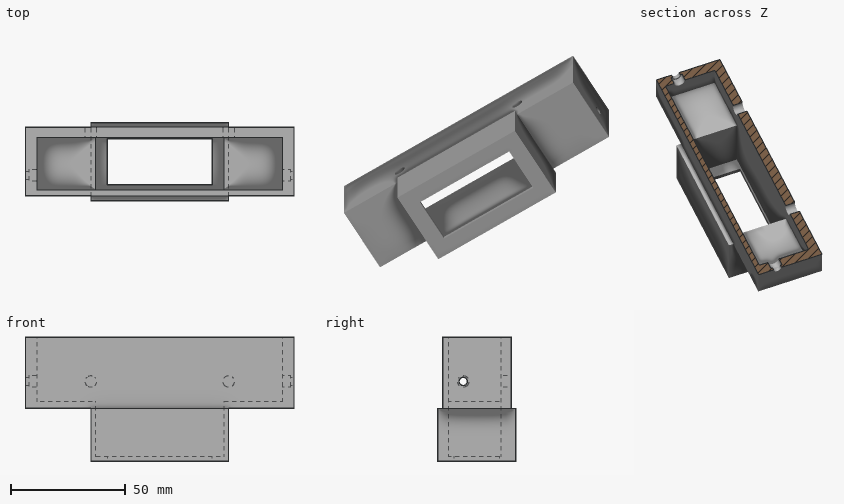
import cadquery as cq

tray_length = 117.0
tray_width = 30.0
tray_height = 31.0
tray_center_y = 0.1
tray_end_wall = 5.0
tray_front_wall = 2.5
tray_back_wall = 4.5
tray_floor = 3.0

base_length = 60.0
base_width = 34.0
base_height = 23.0
base_end_wall = 2.0
base_floor = 2.0

window_length = 45.5
window_width = 20.0

hole_height_above_base = 11.75
end_hole_diameter = 3.5
end_hole_offset = -6.0
end_counterbore_diameter = 5.0
end_lip_thickness = 1.5
back_hole_diameter = 5.0
back_hole_spacing = 60.0

total_height = base_height + tray_height
hole_z = base_height + hole_height_above_base
end_hole_y = tray_center_y + end_hole_offset
tray_back_y = tray_center_y + tray_width / 2
cavity_width = tray_width - tray_front_wall - tray_back_wall
cavity_center_y = tray_center_y + (tray_front_wall - tray_back_wall) / 2


def block(length, width, bottom_z, top_z, center_y=0.0):
    """Rectangular block centred on X, between two heights."""
    return (
        cq.Workplane("XY", origin=(0, center_y, bottom_z))
        .rect(length, width)
        .extrude(top_z - bottom_z)
    )


def outer_body():
    """Housing with the longer tray standing on it."""
    base = block(base_length, base_width, 0, base_height)
    tray = block(tray_length, tray_width, base_height, total_height, tray_center_y)
    return base.union(tray)


def stepped_cavity():
    """Tray pocket, the shorter recess below it, and the window through the bottom."""
    pocket_length = tray_length - 2 * tray_end_wall
    pocket_floor_z = base_height + tray_floor
    pocket = block(pocket_length, cavity_width, pocket_floor_z, total_height, cavity_center_y)
    recess_length = base_length - 2 * base_end_wall
    recess = block(recess_length, cavity_width, base_floor, total_height, cavity_center_y)
    window = block(window_length, window_width, 0, total_height)
    return pocket.union(recess).union(window)


def lengthwise_bore(diameter, length):
    """Cylinder along X on the end hole axis, centred on the part."""
    return (
        cq.Workplane("YZ", origin=(-length / 2, end_hole_y, hole_z))
        .circle(diameter / 2)
        .extrude(length)
    )


def end_holes():
    """Hole in each end wall, counterbored from the inside up to a thin outer lip."""
    through_bore = lengthwise_bore(end_hole_diameter, tray_length)
    counterbores = lengthwise_bore(end_counterbore_diameter, tray_length - 2 * end_lip_thickness)
    return through_bore.union(counterbores)


def back_hole(x):
    """Bore along Y through the back wall."""
    return (
        cq.Workplane("XZ", origin=(x, tray_back_y, hole_z))
        .circle(back_hole_diameter / 2)
        .extrude(tray_back_wall)
    )


result = outer_body().cut(stepped_cavity()).cut(end_holes())
for side in (-1, 1):
    result = result.cut(back_hole(side * back_hole_spacing / 2))